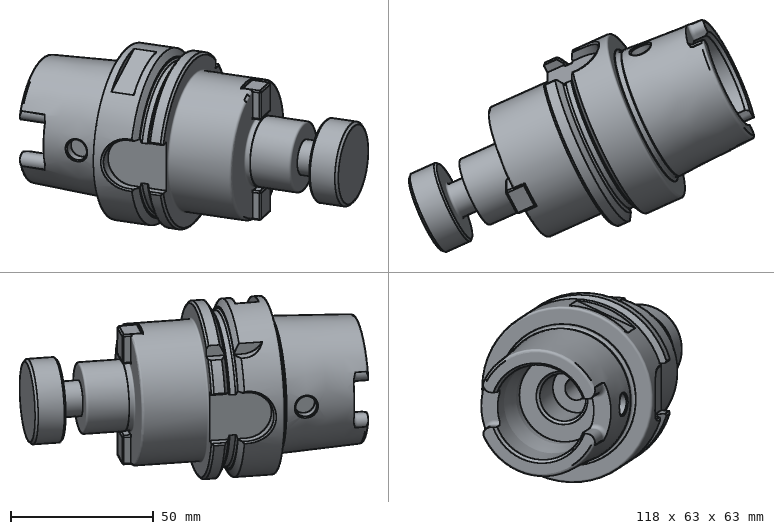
import cadquery as cq
import math


tolerance = 0.01

taper_end = 30.0
flange_start = 32.1
flange_end = 57.9
body_end = 81.9
arbor_end = 99.4
overall_length = 118.0

taper_start_radius = 22.8
taper_ratio = 0.1
taper_end_radius = taper_start_radius + taper_end * taper_ratio / 2
taper_rim_fillet = 1.1
taper_end_bevel = 0.4
relief_radius = 24.0
relief_outer_radius = 25.4
relief_depth = 0.2
relief_fillet = 0.8
flange_radius = 31.5
flange_front_fillet = 0.8
flange_back_chamfer = 0.8
body_radius = 25.0
body_fillet = 1.0
root_fillet = 0.6
arbor_diameter = 25.4
arbor_radius = arbor_diameter / 2
arbor_neck_radius = 12.5
arbor_neck_length = 2.1
arbor_fillet = 0.8

groove_start = 46.6
groove_edge_bevel = 0.4
groove_bottom_radius = 27.5
groove_flat_radius = 28.8
groove_wall_start = 48.0
groove_wall_end = 51.5
groove_end = 53.2
groove_corner_fillet = 0.7

mouth_radius = 17.9
mouth_rim_radius = 17.5
mouth_rim_length = 0.6
mouth_length = 1.4
bore_radius = 17.0
straight_bore_end = 12.9
cone_end = 22.7
bore_end_radius = 15.7
bore_floor = 26.5
coolant_hole_diameter = 17.0
coolant_chamfer_diameter = 19.0
coolant_chamfer = (coolant_chamfer_diameter - coolant_hole_diameter) / 2
coolant_hole_end = 42.5
passage_diameter = 8.0

notch_half_width = 6.3
front_notch_depth = 10.1
back_notch_depth = 5.5
notch_floor_fillet = 1.5
notch_flare_radius = 2.8
notch_inner_y = 11.8
outside_taper = 28.3

cross_hole_x = 22.9
cross_hole_radius = 3.8
cross_hole_floor_y = 19.6
cross_hole_chamfer = 0.5

slot_center_x = 45.0
slot_radius = 9.1
slot_floor_y = 26.4
slot_chamfer = 0.7
corner_notch_offset = 20.2
corner_notch_radius = 8.1
chip_start = 35.2
chip_length = 8.4
chip_span = 43.0

key_start = 77.4
key_end = 85.0
key_width = 9.7
key_bottom = 13.5
key_top = 24.4
key_chamfer = 0.6
shank_radius = 6.4
shank_start = 73.2
head_start = 107.0
head_radius = 15.1
head_back_chamfer = 0.7
head_front_chamfer = 1.0
head_root_fillet = 1.0


def turned(points):
    """Solid of revolution about X from (x, radius) points that start and end on the axis."""
    return cq.Workplane("XY").polyline(points).close().revolve(360, (0, 0, 0), (1, 0, 0))


def box_between(x, y, z):
    """Box from three (low, high) pairs."""
    size = [high - low for low, high in (x, y, z)]
    return cq.Workplane("XY").box(*size, centered=False).translate((x[0], y[0], z[0]))


def edges_at(body, x, radius):
    """Circular edges around the X axis at the given station and radius."""
    return body.edges("%CIRCLE").filter(
        lambda edge: abs(edge.Center().x - x) < tolerance and abs(edge.radius() - radius) < tolerance
    )


def holder_blank():
    blank = turned([
        (0, 0),
        (0, taper_start_radius),
        (taper_end, taper_end_radius),
        (taper_end + taper_end_bevel, relief_radius),
        (flange_start + relief_depth, relief_radius),
        (flange_start + relief_depth, relief_outer_radius),
        (flange_start, relief_outer_radius),
        (flange_start, flange_radius),
        (groove_start - groove_edge_bevel, flange_radius),
        (groove_start, flange_radius - groove_edge_bevel),
        (groove_wall_start, groove_flat_radius),
        (groove_wall_start, groove_bottom_radius),
        (groove_wall_end, groove_bottom_radius),
        (groove_wall_end, groove_flat_radius),
        (groove_end, flange_radius),
        (flange_end - flange_back_chamfer, flange_radius),
        (flange_end, flange_radius - flange_back_chamfer),
        (flange_end, body_radius),
        (body_end, body_radius),
        (body_end, arbor_neck_radius),
        (body_end + arbor_neck_length, arbor_neck_radius),
        (body_end + arbor_neck_length, arbor_radius),
        (arbor_end, arbor_radius),
        (arbor_end, 0),
    ])
    blank = edges_at(blank, 0, taper_start_radius).fillet(taper_rim_fillet)
    blank = edges_at(blank, flange_start + relief_depth, relief_radius).fillet(relief_fillet)
    blank = edges_at(blank, flange_start, flange_radius).fillet(flange_front_fillet)
    blank = edges_at(blank, groove_wall_start, groove_bottom_radius).fillet(groove_corner_fillet)
    blank = edges_at(blank, groove_wall_end, groove_bottom_radius).fillet(groove_corner_fillet)
    blank = edges_at(blank, flange_end, body_radius).fillet(root_fillet)
    blank = edges_at(blank, body_end, arbor_neck_radius).fillet(root_fillet)
    blank = edges_at(blank, arbor_end, arbor_radius).fillet(arbor_fillet)
    return edges_at(blank, body_end, body_radius).fillet(body_fillet)


def bore():
    coolant_radius = coolant_hole_diameter / 2
    return turned([
        (0, 0),
        (0, mouth_radius),
        (mouth_rim_length, mouth_rim_radius),
        (mouth_length, bore_radius),
        (straight_bore_end, bore_radius),
        (cone_end, bore_end_radius),
        (bore_floor, bore_end_radius),
        (bore_floor, coolant_radius + coolant_chamfer),
        (bore_floor + coolant_chamfer, coolant_radius),
        (coolant_hole_end, coolant_radius),
        (coolant_hole_end, passage_diameter / 2),
        (shank_start, passage_diameter / 2),
        (shank_start, shank_radius),
        (arbor_end, shank_radius),
        (arbor_end, 0),
    ])


def rim_notch(depth):
    """Cut through the -Y side of the taper rim, with a rounded floor and flared outer sides."""
    flare_z = notch_half_width + notch_flare_radius
    center_distance = taper_start_radius - notch_flare_radius
    flare_y = math.sqrt(center_distance**2 - flare_z**2)
    touch = taper_start_radius / center_distance
    half_angle = math.atan2(flare_z, flare_y) / 2
    middle_y = flare_y + notch_flare_radius * math.sin(half_angle)
    middle_z = flare_z - notch_flare_radius * math.cos(half_angle)
    end_y = flare_y * touch
    end_z = flare_z * touch
    outline = (
        cq.Workplane("YZ")
        .moveTo(-notch_inner_y, -notch_half_width)
        .lineTo(-flare_y, -notch_half_width)
        .threePointArc((-middle_y, -middle_z), (-end_y, -end_z))
        .lineTo(-outside_taper, -end_z)
        .lineTo(-outside_taper, end_z)
        .lineTo(-end_y, end_z)
        .threePointArc((-middle_y, middle_z), (-flare_y, notch_half_width))
        .lineTo(-notch_inner_y, notch_half_width)
        .close()
    )
    cutter = outline.extrude(depth)
    side_edges = cutter.faces(">X").edges().filter(
        lambda edge: -end_y < edge.Center().y < -notch_inner_y - tolerance
    )
    return side_edges.fillet(notch_floor_fillet)


def cross_hole():
    """Flat-bottomed round hole in the -Y side of the taper."""
    return (
        cq.Workplane("XZ", origin=(cross_hole_x, -cross_hole_floor_y, 0))
        .circle(cross_hole_radius)
        .extrude(outside_taper - cross_hole_floor_y)
    )


def cross_hole_rims(body):
    """Edges where the cross holes open into the outside of the taper."""

    def is_rim(edge):
        points = [edge.positionAt(fraction) for fraction in (0, 0.25, 0.5, 0.75, 1)]
        on_hole = all(
            abs(math.hypot(p.x - cross_hole_x, p.z) - cross_hole_radius) < tolerance for p in points
        )
        return on_hole and all(abs(p.y) > cross_hole_floor_y + tolerance for p in points)

    return body.edges().filter(is_rim)


def drive_slot():
    """Round-ended slot in the -Y side of the flange, open toward the body."""
    return (
        cq.Workplane("XZ", origin=(0, -slot_floor_y, 0))
        .moveTo(flange_end, slot_radius)
        .lineTo(slot_center_x, slot_radius)
        .threePointArc((slot_center_x - slot_radius, 0), (slot_center_x, -slot_radius))
        .lineTo(flange_end, -slot_radius)
        .close()
        .extrude(flange_radius - slot_floor_y)
    )


def drive_slot_rims(body):
    """Edges where the drive slot walls meet the cylindrical outside of the flange."""

    def is_rim(edge):
        points = [edge.positionAt(fraction) for fraction in (0, 0.5, 1)]
        on_rim = all(abs(math.hypot(p.y, p.z) - flange_radius) < tolerance for p in points)
        span = points[0].sub(points[2])
        return on_rim and abs(points[1].z) < slot_radius + tolerance and abs(span.x) > tolerance

    return body.edges().filter(is_rim)


def corner_notch():
    """Square corner cut in the +Y +Z side of the flange, with a rounded run-out."""
    top = corner_notch_offset + corner_notch_radius
    diagonal = corner_notch_radius * math.sqrt(0.5)
    return (
        cq.Workplane("XZ", origin=(0, corner_notch_offset, 0))
        .moveTo(flange_end, corner_notch_offset)
        .lineTo(slot_center_x, corner_notch_offset)
        .threePointArc((slot_center_x - diagonal, top - diagonal), (slot_center_x - corner_notch_radius, top))
        .lineTo(flange_end, top)
        .close()
        .extrude(-(flange_radius - corner_notch_offset))
    )


def chip_pocket():
    """Flat-bottomed pocket across the flange for the data chip."""
    half_span = math.radians(chip_span / 2)
    floor_distance = flange_radius * math.cos(half_span)
    half_chord = flange_radius * math.sin(half_span)
    pocket = box_between(
        (chip_start, chip_start + chip_length), (-half_chord, half_chord), (floor_distance, flange_radius)
    )
    return pocket.rotate((0, 0, 0), (1, 0, 0), chip_span / 2)


def key_box(top):
    """Block at the place of the upper drive key, up to the given height."""
    return box_between((key_start, key_end), (-key_width / 2, key_width / 2), (key_bottom, top))


def make_holder():
    holder = holder_blank().cut(bore())
    holder = holder.cut(rim_notch(front_notch_depth))
    holder = holder.cut(rim_notch(back_notch_depth).mirror("XZ"))
    slot = drive_slot()
    holder = holder.cut(slot).cut(slot.mirror("XZ"))
    holder = drive_slot_rims(holder).chamfer(slot_chamfer)
    hole = cross_hole()
    holder = holder.cut(hole).cut(hole.mirror("XZ"))
    holder = cross_hole_rims(holder).chamfer(cross_hole_chamfer)
    holder = holder.cut(corner_notch()).cut(chip_pocket())
    key_slot = key_box(body_radius)
    return holder.cut(key_slot).cut(key_slot.mirror("XY"))


def make_key(angle):
    key = key_box(key_top).edges(">X or >Z or <Z").chamfer(key_chamfer)
    return key.rotate((0, 0, 0), (1, 0, 0), angle)


def make_screw():
    screw = turned([
        (shank_start, 0),
        (shank_start, shank_radius),
        (head_start, shank_radius),
        (head_start, head_radius - head_back_chamfer),
        (head_start + head_back_chamfer, head_radius),
        (overall_length - head_front_chamfer, head_radius),
        (overall_length, head_radius - head_front_chamfer),
        (overall_length, 0),
    ])
    return edges_at(screw, head_start, shank_radius).fillet(head_root_fillet)


holder = make_holder()
keys = [make_key(angle) for angle in (0, 180)]
screw = make_screw()

result = cq.Compound.makeCompound([holder.val(), *[key.val() for key in keys], screw.val()])